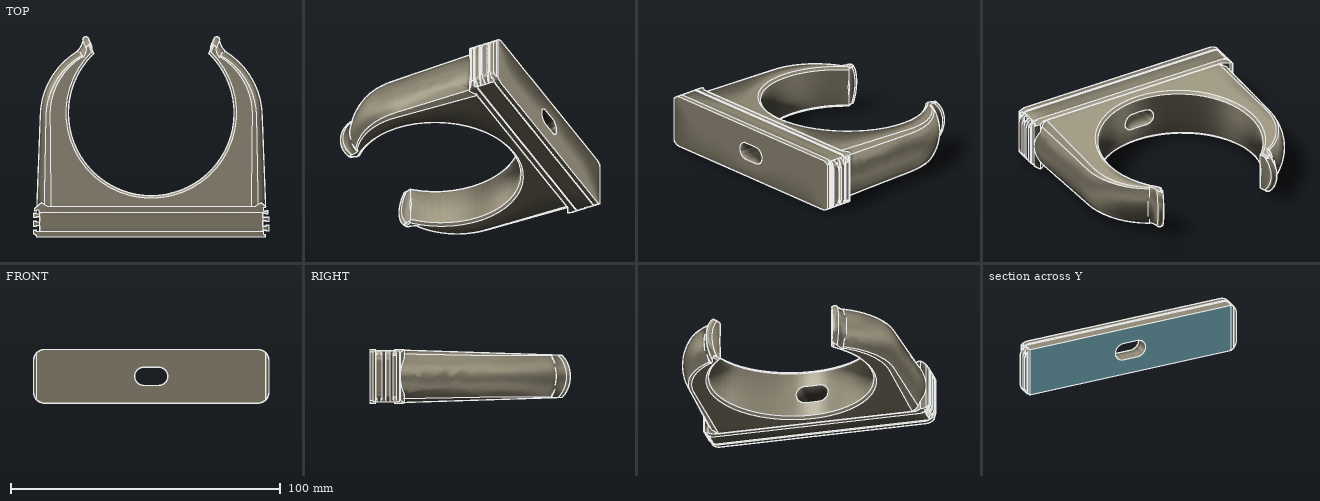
import cadquery as cq
import math


foot_length = 87.4
foot_width = 20.0
foot_height = 11.3
corner_radius = 4.2
core_length = 82.8
core_width = 19.05
lower_flange_top = 2.1
upper_flange_bottom = 9.2
lip_start = 42.55
root_x = 40.2
slot_length = 12.2
slot_width = 6.6

bore_radius = 30.7
bore_chamfer = 1.0
bore_y = 46.0
arc_start_y = 44.3
arm_outer_radius = 28.8
arm_tip_y = 74.3
arm_arc_angle = 60.0

foot_section = dict(face_x=37.1, edge_x=39.7, crown_x=42.5, face_z=9.8, edge_z=8.3)
split_section = dict(face_x=37.5, edge_x=39.05, crown_x=41.2, face_z=8.7, edge_z=7.7)

tip_face_z = 7.95
tip_sag = 3.5
lip_x, lip_y = 21.5, 68.5
lip_end_x, lip_end_y = 22.8, 71.55
lip_chamfer = 0.5

face_slope = (foot_section["face_z"] - split_section["face_z"]) / (arc_start_y - foot_height)
arc_center_x = split_section["crown_x"] - arm_outer_radius


def face_half_width(y):
    """Half thickness of the tapered arms at height y."""
    return foot_section["face_z"] - face_slope * (y - foot_height)


def prism(points, width):
    """Polygon in XY, extruded symmetrically about Z = 0."""
    return cq.Workplane("XY").polyline(points).close().extrude(width / 2, both=True)


def block(x_min, x_max, y_min, y_max, width):
    return cq.Workplane("XY").box(x_max - x_min, y_max - y_min, width).translate(
        ((x_min + x_max) / 2, (y_min + y_max) / 2, 0)
    )


def t_rail(side, y_min, y_max, end_x, lower_step, upper_step):
    """Rail on one end of the foot; its lip overhangs the neck by the given steps."""
    neck = block(root_x, end_x, y_min + lower_step, y_max - upper_step, core_width)
    rail = neck.union(block(lip_start, end_x, y_min, y_max, core_width))
    return rail if side > 0 else rail.mirror("YZ")


def make_foot():
    half_length = foot_length / 2
    half_core = core_length / 2
    flange_end = 41.7
    edge_x = 42.3
    gusset_bottom = 10.9
    core = block(-half_core, half_core, 0, foot_height, core_width)
    foot = core.union(block(-flange_end, flange_end, 0, lower_flange_top, foot_width))
    foot = foot.union(
        block(-flange_end, flange_end, upper_flange_bottom, foot_height, foot_width)
    )

    foot = foot.union(
        prism([(-root_x, 0), (-42.6, 0), (-42.6, 0.6), (-half_length, 1.3), (-half_length, 2.6),
               (-lip_start, 2.6), (-lip_start, 2.1), (-root_x, 2.1)], foot_width)
    )
    foot = foot.union(t_rail(-1, 3.9, 5.9, half_length, 0.35, 0.3))
    foot = foot.union(t_rail(-1, 7.25, 8.9, 43.6, 0.3, 0.3))
    foot = foot.union(
        prism([(-root_x, 10.0), (-lip_start, 10.0), (-lip_start, 9.7), (-43.3, 9.7), (-43.3, 10.5),
               (-42.55, foot_height), (-root_x, foot_height)], foot_width)
    )

    foot = foot.union(block(root_x, edge_x, 0, 1.05, foot_width))
    foot = foot.union(t_rail(1, 2.2, 4.45, half_length, 0.35, 0.35))
    foot = foot.union(t_rail(1, 5.8, 7.4, half_length, 0.3, 0))
    foot = foot.union(t_rail(1, 8.6, 9.9, 43.2, 0.3, 0.3))
    foot = foot.union(block(root_x, edge_x, gusset_bottom, foot_height, foot_width))

    for side in (-1, 1):
        gusset = [(42.5, foot_height), (40.7, 12.75), (38.3, foot_height),
                  (38.3, gusset_bottom), (edge_x, gusset_bottom)]
        foot = foot.union(prism([(side * x, y) for x, y in gusset], foot_width))

    envelope = block(-half_length, half_length, 0, bore_y, foot_width).edges("|Y").fillet(corner_radius)
    return foot.intersect(envelope).union(core)


def lower_section(y, s):
    """Closed XZ section of both lower arms and the web between them."""
    return (
        cq.Workplane("XZ", origin=(0, y, 0))
        .moveTo(-s["face_x"], s["face_z"])
        .lineTo(s["face_x"], s["face_z"])
        .lineTo(s["edge_x"], s["edge_z"])
        .threePointArc((s["crown_x"], 0), (s["edge_x"], -s["edge_z"]))
        .lineTo(s["face_x"], -s["face_z"])
        .lineTo(-s["face_x"], -s["face_z"])
        .lineTo(-s["edge_x"], -s["edge_z"])
        .threePointArc((-s["crown_x"], 0), (-s["edge_x"], s["edge_z"]))
        .close()
        .wire()
        .val()
    )


def make_lower_arms():
    wires = [lower_section(foot_height, foot_section), lower_section(arc_start_y, split_section)]
    return cq.Workplane(obj=cq.Solid.makeLoft(wires, True))


def make_left_arc():
    """Left arm above the split, turned about the arm's arc centre."""
    s = split_section
    buried_depth = 13.1
    inner_x = -arc_center_x - buried_depth
    return (
        cq.Workplane("XZ", origin=(0, arc_start_y, 0))
        .moveTo(inner_x, s["face_z"])
        .lineTo(-s["face_x"], s["face_z"])
        .lineTo(-s["edge_x"], s["edge_z"])
        .threePointArc((-s["crown_x"], 0), (-s["edge_x"], -s["edge_z"]))
        .lineTo(-s["face_x"], -s["face_z"])
        .lineTo(inner_x, -s["face_z"])
        .close()
        .revolve(arm_arc_angle, (-arc_center_x, 0.9, 0), (-arc_center_x, 0, 0))
    )


def tip_section(z):
    """Tip outline at height z, slid back along the lip as it nears the faces."""
    sag_radius = (tip_face_z**2 + tip_sag**2) / (2 * tip_sag)
    slide = sag_radius - math.sqrt(sag_radius**2 - z**2)
    lip_length = math.hypot(lip_end_x - lip_x, lip_end_y - lip_y)
    dx = slide * (lip_end_x - lip_x) / lip_length
    dy = -slide * (lip_end_y - lip_y) / lip_length
    return (
        cq.Workplane("XY", origin=(dx, dy, z))
        .moveTo(-25.3, 64.65)
        .lineTo(-27.3, 69.1)
        .threePointArc((-26.0, 70.85), (-25.3, 72.9))
        .threePointArc((-24.4, arm_tip_y), (-23.2, 72.9))
        .lineTo(-lip_end_x, lip_end_y)
        .lineTo(-lip_x, lip_y)
        .lineTo(-lip_x, lip_y - 3.5)
        .close()
        .wire()
        .val()
    )


def make_left_tip():
    reach = tip_face_z + 0.35
    heights = [step * reach / 3 for step in range(-3, 4)]
    return cq.Workplane(obj=cq.Solid.makeLoft([tip_section(z) for z in heights], False))


def make_lip_cutter():
    """Cutter for the chamfer along the upper edge of the left lip, tilted with the arm's taper."""
    run_x = lip_x - lip_end_x
    run_y = lip_end_y - lip_y
    overlap = 0.9
    edge = cq.Plane(
        origin=(-lip_x, lip_y, face_half_width(lip_y)),
        xDir=(run_y, -run_x, 0),
        normal=(run_x, run_y, -face_slope * run_y),
    )
    return (
        cq.Workplane(edge)
        .polyline([(-lip_chamfer, 0), (0, lip_chamfer), (overlap, lip_chamfer),
                   (overlap, -overlap), (-lip_chamfer, -overlap)])
        .close()
        .extrude(arm_tip_y - lip_y, both=True)
    )


def make_arms():
    left = make_left_arc().union(make_left_tip())
    top_y = arm_tip_y + 0.9
    taper = (
        cq.Workplane("YZ")
        .polyline([
            (arc_start_y, -face_half_width(arc_start_y)),
            (top_y, -face_half_width(top_y)),
            (top_y, face_half_width(top_y)),
            (arc_start_y, face_half_width(arc_start_y)),
        ])
        .close()
        .extrude(foot_length / 2, both=True)
    )
    left = left.intersect(taper)
    lip_cutter = make_lip_cutter()
    left = left.cut(lip_cutter).cut(lip_cutter.mirror("XY"))
    return make_lower_arms().union(left).union(left.mirror("YZ"))


def cut_bore(body):
    bore = cq.Workplane("XY", origin=(0, bore_y, 0)).circle(bore_radius).extrude(foot_width, both=True)
    body = body.cut(bore)
    tilt = math.degrees(math.atan(face_slope))
    cone = cq.Solid.makeCone(
        bore_radius - bore_chamfer, bore_radius + 2 * bore_chamfer, 3 * bore_chamfer,
        pnt=(0, 0, -2 * bore_chamfer), dir=(0, 0, 1),
    )
    cone = (
        cq.Workplane(obj=cone)
        .rotate((0, 0, 0), (1, 0, 0), -tilt)
        .translate((0, bore_y, face_half_width(bore_y)))
    )
    return body.cut(cone).cut(cone.mirror("XY"))


def make_slot():
    return (
        cq.Workplane("XZ")
        .slot2D(slot_length, slot_width)
        .extrude(-bore_y)
    )


result = cut_bore(make_foot().union(make_arms())).cut(make_slot())